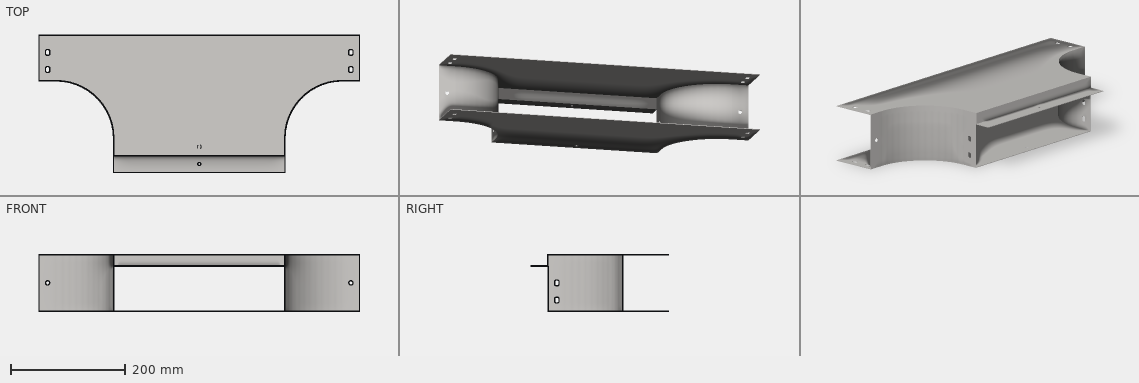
import cadquery as cq
import math

run_length = 560.0
body_depth = 210.0
height = 100.0
sheet = 1.0

bend_radius = 100.0
end_straight = 30.0

lip_drop = 20.0
lip_reach = 30.0

lip_hole_diameter = 5.0
hole_diameter = 7.0
slot_width = 7.0
slot_length = 10.0
edge_inset = 15.0
arm_slot_depths = (30.0, 60.0)
branch_slot_heights = (20.0, 50.0)

half_run = run_length / 2
half_branch = half_run - bend_radius - end_straight
branch_width = 2 * half_branch
mouth_y = -body_depth
arm_y = mouth_y + bend_radius + end_straight
bend_start_x = half_run - end_straight
bend_end_y = mouth_y + end_straight
hole_x = half_run - edge_inset
BOTH_SIDES = (-1, 1)


def bend_middle(radius):
    """Halfway point of the right-hand bend at the given radius."""
    diagonal = radius * math.sqrt(0.5)
    return bend_start_x - diagonal, bend_end_y + diagonal


def tee_plate(bottom):
    """Flat tee-shaped sheet with its lower face at the given height."""
    middle_x, middle_y = bend_middle(bend_radius)
    return (
        cq.Workplane("XY", origin=(0, 0, bottom))
        .moveTo(-half_run, 0)
        .lineTo(half_run, 0)
        .lineTo(half_run, arm_y)
        .lineTo(bend_start_x, arm_y)
        .threePointArc((middle_x, middle_y), (half_branch, bend_end_y))
        .lineTo(half_branch, mouth_y)
        .lineTo(-half_branch, mouth_y)
        .lineTo(-half_branch, bend_end_y)
        .threePointArc((-middle_x, middle_y), (-bend_start_x, arm_y))
        .lineTo(-half_run, arm_y)
        .close()
        .extrude(sheet)
    )


def side_wall(side):
    """Full-height wall from an arm end round the bend to the branch mouth."""
    inner_x = half_branch - sheet
    inner_y = arm_y + sheet
    wall = (
        cq.Workplane("XY")
        .moveTo(half_run, arm_y)
        .lineTo(bend_start_x, arm_y)
        .threePointArc(bend_middle(bend_radius), (half_branch, bend_end_y))
        .lineTo(half_branch, mouth_y)
        .lineTo(inner_x, mouth_y)
        .lineTo(inner_x, bend_end_y)
        .threePointArc(bend_middle(bend_radius + sheet), (bend_start_x, inner_y))
        .lineTo(half_run, inner_y)
        .close()
        .extrude(height)
    )
    return wall if side > 0 else wall.mirror("YZ")


def stepped_lip():
    """Skirt down the front of the lid at the mouth, with a lip turned outward."""
    lip_bottom = height - lip_drop - sheet
    corner = cq.Workplane("XY", origin=(0, mouth_y, lip_bottom))
    skirt = corner.center(0, -sheet / 2).rect(branch_width, sheet).extrude(lip_drop + sheet)
    lip = corner.center(0, -lip_reach / 2).rect(branch_width, lip_reach).extrude(sheet)
    return skirt.union(lip)


def flat_sided_slots(plane, points, depth):
    """Cutters shaped as a circle with two flats, long along the plane's second axis."""
    half_width = slot_width / 2
    radius = slot_length / 2
    flat_end = math.sqrt(radius**2 - half_width**2)
    cutters = cq.Workplane("XY")
    for across, along in points:
        cutters = cutters.add(
            plane.center(across, along)
            .moveTo(half_width, -flat_end)
            .lineTo(half_width, flat_end)
            .threePointArc((0, radius), (-half_width, flat_end))
            .lineTo(-half_width, -flat_end)
            .threePointArc((0, -radius), (half_width, -flat_end))
            .close()
            .extrude(depth)
        )
    return cutters.combine()


def arm_slots():
    """Pairs of slots along Z through lid and base at both arm ends."""
    points = [(side * hole_x, -depth) for side in BOTH_SIDES for depth in arm_slot_depths]
    return flat_sided_slots(cq.Workplane("XY"), points, height)


def branch_slots():
    """Pairs of upright slots along X through both walls at the branch mouth."""
    points = [(mouth_y + edge_inset, level) for level in branch_slot_heights]
    plane = cq.Workplane("YZ", origin=(-half_branch, 0, 0))
    return flat_sided_slots(plane, points, branch_width)


def mouth_holes():
    """Round holes in the middle of the lip and of the base edge below it."""
    base_radius = hole_diameter / 2
    lip_radius = lip_hole_diameter / 2
    base_hole = cq.Workplane("XY").center(0, mouth_y + edge_inset).circle(base_radius).extrude(sheet)
    lip_hole = cq.Workplane("XY").center(0, mouth_y - edge_inset).circle(lip_radius).extrude(height)
    return base_hole.union(lip_hole)


def arm_wall_holes():
    """Round holes along Y through the wall at each arm end."""
    points = [(side * hole_x, height / 2) for side in BOTH_SIDES]
    return (
        cq.Workplane("XZ", origin=(0, arm_y + sheet, 0))
        .pushPoints(points)
        .circle(hole_diameter / 2)
        .extrude(sheet)
    )


result = tee_plate(0).union(tee_plate(height - sheet))
for wall_side in BOTH_SIDES:
    result = result.union(side_wall(wall_side))
result = (
    result.union(stepped_lip())
    .cut(arm_slots())
    .cut(branch_slots())
    .cut(mouth_holes())
    .cut(arm_wall_holes())
)